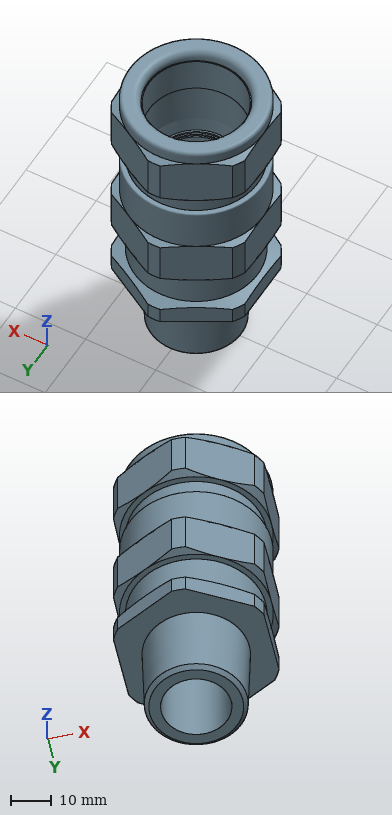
import cadquery as cq
import math


across_flats = 38.0
across_corners = 42.0
flat_radius = across_flats / 2
corner_radius = across_corners / 2
neck_radius = 17.5

thread_tip_height = 1.0
flange_bottom = 20.5
flange_top = 26.45
middle_bottom = 36.4
middle_hex_top = 49.35
middle_top = 61.3
cap_bottom = 66.9
cap_hex_top = 80.95
cap_top = 84.4

flange_chamfer_angle = 20.0
middle_top_chamfer_angle = 15.0
middle_bottom_chamfer_angle = 20.0
cap_top_chamfer_angle = 22.0
cap_bottom_chamfer_angle = 29.0

thread_tip_radius = 11.7
thread_low_radius = 12.85
thread_high_radius = 13.4
entry_bore_radius = 8.8
entry_mouth_radius = 9.9
mouth_depth = 4.0
seal_step_radii = (10.3, 10.75)
seal_step_depth = 0.5
cone_top_radius = 11.3
spigot_radius = 12.5
cone_bottom = 54.0
cone_top = 58.0

middle_rim_fillet = 0.4
cable_bore_radius = 13.35
cable_bore_bottom = 60.0
joint_height = 71.6
collar_radius = 19.0
collar_fillet = 1.0
lip_radius = 13.65
lip_fillet = 2.05
lip_land = 0.6


def revolved(points):
    """Revolve a closed (radius, height) outline around the Z axis."""
    return cq.Workplane("XZ").polyline(points).close().revolve(360, (0, 0, 0), (0, 1, 0))


def chamfer_drop(angle, inner_radius):
    """Height that a conical chamfer loses between inner_radius and the hexagon corners."""
    return (corner_radius - inner_radius) * math.tan(math.radians(angle))


def hexagon(bottom, top, bottom_angle, top_angle, top_radius=flat_radius):
    """Hexagon with flats facing +X and -X, rounded corners and conically chamfered ends."""
    circumscribed_diameter = across_flats / math.cos(math.pi / 6)
    prism = (
        cq.Workplane("XY", origin=(0, 0, bottom))
        .transformed(rotate=(0, 0, 90))
        .polygon(6, circumscribed_diameter)
        .extrude(top - bottom)
    )
    envelope = revolved([
        (0, bottom),
        (flat_radius, bottom),
        (corner_radius, bottom + chamfer_drop(bottom_angle, flat_radius)),
        (corner_radius, top - chamfer_drop(top_angle, top_radius)),
        (top_radius, top),
        (0, top),
    ])
    return prism.intersect(envelope)


def cylinder(radius, bottom, top):
    """Upright cylinder on the Z axis between two heights."""
    return cq.Workplane("XY", origin=(0, 0, bottom)).circle(radius).extrude(top - bottom)


def make_entry():
    """Tapered male end, hexagonal flange, neck, and a spigot ending in the armour cone."""
    thread = revolved([
        (0, 0),
        (thread_tip_radius, 0),
        (thread_low_radius, thread_tip_height),
        (thread_high_radius, flange_bottom),
        (0, flange_bottom),
    ])
    flange = hexagon(flange_bottom, flange_top, 0, flange_chamfer_angle, neck_radius)
    neck = cylinder(neck_radius, flange_top, middle_bottom)
    spigot = revolved([
        (0, middle_bottom),
        (spigot_radius, middle_bottom),
        (spigot_radius, cone_bottom),
        (cone_top_radius, cone_top),
        (0, cone_top),
    ])
    seal_floor = cone_top - seal_step_depth * len(seal_step_radii)
    bore = revolved([
        (0, 0),
        (entry_bore_radius, 0),
        (entry_bore_radius, seal_floor - mouth_depth),
        (entry_mouth_radius, seal_floor),
        (0, seal_floor),
    ])
    entry_body = thread.union(flange).union(neck).union(spigot).cut(bore)
    for level, step_radius in enumerate(seal_step_radii):
        step_floor = seal_floor + level * seal_step_depth
        entry_body = entry_body.cut(cylinder(step_radius, step_floor, cone_top))
    return entry_body


def make_middle():
    """Hexagon with a round barrel above it and a neck that reaches up inside the cap."""
    hex_part = hexagon(
        middle_bottom, middle_hex_top, middle_bottom_chamfer_angle, middle_top_chamfer_angle
    )
    barrel = cylinder(flat_radius, middle_hex_top, middle_top).faces(">Z").edges().fillet(middle_rim_fillet)
    neck = cylinder(neck_radius, middle_top, joint_height)
    bore = revolved([
        (0, middle_bottom),
        (spigot_radius, middle_bottom),
        (spigot_radius, cone_bottom),
        (cable_bore_radius, cable_bore_bottom),
        (cable_bore_radius, joint_height),
        (0, joint_height),
    ])
    return hex_part.union(barrel).union(neck).cut(bore)


def make_cap():
    """Hexagonal cap nut with a round collar, a rounded cable lip and a socket for the neck."""
    hex_part = hexagon(cap_bottom, cap_hex_top, cap_bottom_chamfer_angle, cap_top_chamfer_angle)
    collar = cylinder(collar_radius, cap_hex_top, cap_top).faces(">Z").edges().fillet(collar_fillet)
    socket = cylinder(neck_radius, cap_bottom, joint_height)
    cable_bore = cylinder(cable_bore_radius, joint_height, cap_top)
    lip_bottom = cap_top - lip_fillet - lip_land
    lip_bore = cylinder(lip_radius, lip_bottom, cap_top)
    body = hex_part.union(collar).cut(socket).cut(cable_bore).cut(lip_bore)
    lip_edge = cq.selectors.RadiusNthSelector(0)
    return body.faces(">Z").edges(lip_edge).fillet(lip_fillet)


entry = make_entry()
middle = make_middle()
cap = make_cap()

result = cq.Compound.makeCompound([entry.val(), middle.val(), cap.val()])